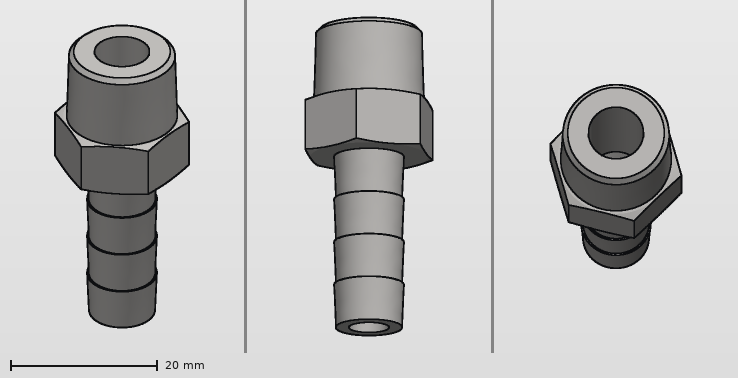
import cadquery as cq
import math

total_height = 42.0
barb_count = 4
barb_pitch = 6.0
hex_height = 7.6
hex_bottom = barb_count * barb_pitch
hex_top = hex_bottom + hex_height

hex_across_flats = 16.0
hex_across_corners = hex_across_flats / math.cos(math.radians(30))
hex_chamfer_radius = hex_across_flats / 2
hex_chamfer_angle = 15.0

barb_small_radius = 4.55
barb_large_radius = 4.8

pipe_base_radius = 7.55
pipe_tip_radius = 7.25
pipe_chamfer_width = 0.67
pipe_chamfer_height = 0.67

tail_bore_radius = 5.5 / 2
wide_bore_radius = 7.5 / 2
wide_bore_depth = total_height - hex_bottom
bore_cone_angle = 90.0


def revolve_profile(points):
    """Revolve a closed (radius, height) outline around the Z axis."""
    return cq.Workplane("XZ").polyline(points).close().revolve(360, (0, 0), (0, 1))


def make_tail():
    points = [(0, 0)]
    for index in range(barb_count):
        bottom = index * barb_pitch
        points.append((barb_small_radius, bottom))
        points.append((barb_large_radius, bottom + barb_pitch))
    points.append((0, hex_bottom))
    return revolve_profile(points)


def make_hexagon():
    prism = (
        cq.Workplane("XY", origin=(0, 0, hex_bottom))
        .polygon(6, hex_across_corners)
        .extrude(hex_height)
    )
    corner_radius = hex_across_corners / 2
    drop = (corner_radius - hex_chamfer_radius) * math.tan(math.radians(hex_chamfer_angle))
    envelope = revolve_profile([
        (0, hex_bottom),
        (hex_chamfer_radius, hex_bottom),
        (corner_radius, hex_bottom + drop),
        (corner_radius, hex_top - drop),
        (hex_chamfer_radius, hex_top),
        (0, hex_top),
    ])
    return prism.intersect(envelope)


def make_pipe_end():
    return revolve_profile([
        (0, hex_top),
        (pipe_base_radius, hex_top),
        (pipe_tip_radius, total_height - pipe_chamfer_height),
        (pipe_tip_radius - pipe_chamfer_width, total_height),
        (0, total_height),
    ])


def make_bore():
    shoulder = total_height - wide_bore_depth
    cone_height = (wide_bore_radius - tail_bore_radius) / math.tan(math.radians(bore_cone_angle / 2))
    return revolve_profile([
        (0, 0),
        (tail_bore_radius, 0),
        (tail_bore_radius, shoulder - cone_height),
        (wide_bore_radius, shoulder),
        (wide_bore_radius, total_height),
        (0, total_height),
    ])


result = make_tail().union(make_hexagon()).union(make_pipe_end()).cut(make_bore())